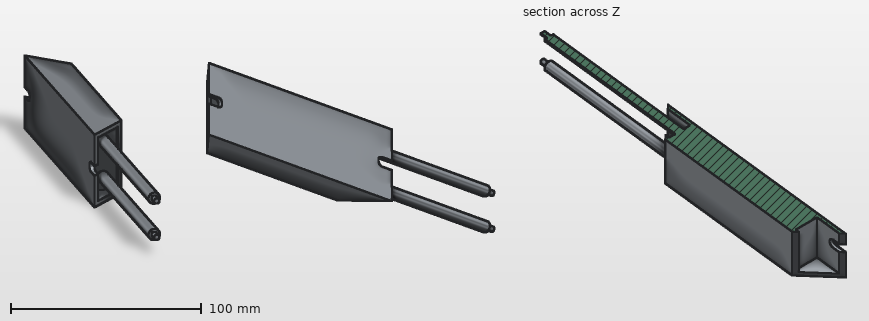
import cadquery as cq

HOUSING_LENGTH = 140.0
HOUSING_DEPTH = 20.0
HOUSING_HEIGHT = 40.0
WALL = 2.6

SLOT_WIDTH = 5.3
SLOT_CENTRE_INSET = 7.5
SLOT_LENGTH = SLOT_CENTRE_INSET + SLOT_WIDTH / 2

OVERALL_LENGTH = 227.5
CONDUCTOR_LENGTH = 5.0
CONDUCTOR_DIAMETER = 3.0
INSULATION_DIAMETER = 6.2
LEAD_SPACING = 20.0

MID_DEPTH = HOUSING_DEPTH / 2
MID_HEIGHT = HOUSING_HEIGHT / 2

CORE_START = HOUSING_DEPTH
CORE_END = HOUSING_LENGTH - HOUSING_DEPTH


def make_housing():
    """Rectangular tube cut at 45 degrees at both ends and filled in the middle."""
    outline = [
        (0, 0),
        (HOUSING_LENGTH, 0),
        (HOUSING_LENGTH - HOUSING_DEPTH, HOUSING_DEPTH),
        (HOUSING_DEPTH, HOUSING_DEPTH),
    ]
    block = cq.Workplane("XY").polyline(outline).close().extrude(HOUSING_HEIGHT)
    for start, end in ((0, CORE_START), (CORE_END, HOUSING_LENGTH)):
        block = block.cut(make_end_recess(start, end))
    return block


def make_end_recess(start, end):
    """Rectangular opening inside the walls, from x = start to x = end."""
    return cq.Workplane("XY").box(
        end - start,
        HOUSING_DEPTH - 2 * WALL,
        HOUSING_HEIGHT - 2 * WALL,
        centered=False,
    ).translate((start, WALL, WALL))


def make_slot(end_x):
    """Round-ended cutter centred on an end edge, reaching SLOT_LENGTH into the front wall."""
    return (
        cq.Workplane("XZ", origin=(end_x, 0, MID_HEIGHT))
        .slot2D(2 * SLOT_LENGTH, SLOT_WIDTH)
        .extrude(-WALL)
    )


def make_lead(z):
    """Insulated wire running in +X from the filling, with a bare conductor tip."""
    insulation_length = OVERALL_LENGTH - CONDUCTOR_LENGTH - CORE_END
    return (
        cq.Workplane("YZ", origin=(CORE_END, MID_DEPTH, z))
        .circle(INSULATION_DIAMETER / 2)
        .extrude(insulation_length)
        .faces(">X")
        .workplane()
        .circle(CONDUCTOR_DIAMETER / 2)
        .extrude(CONDUCTOR_LENGTH)
    )


result = make_housing()
for slot_end in (0, HOUSING_LENGTH):
    result = result.cut(make_slot(slot_end))
for side in (-1, 1):
    result = result.union(make_lead(MID_HEIGHT + side * LEAD_SPACING / 2))